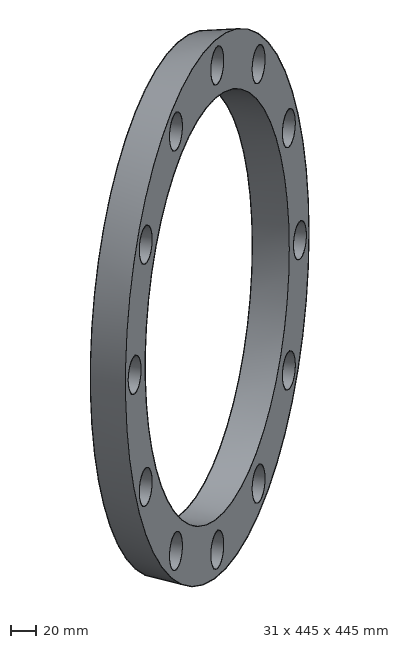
import cadquery as cq

outer_diameter = 445.0
front_diameter = 436.0
bore_diameter = 349.0
thickness = 31.0

bolt_count = 12
bolt_diameter = 31.0
bolt_circle_diameter = 400.5


def tapered_ring():
    """Ring with a conical rim, revolved about the X axis."""
    bore_radius = bore_diameter / 2
    half_thickness = thickness / 2
    section = (
        cq.Workplane("XY")
        .moveTo(-half_thickness, bore_radius)
        .lineTo(-half_thickness, front_diameter / 2)
        .lineTo(half_thickness, outer_diameter / 2)
        .lineTo(half_thickness, bore_radius)
        .close()
    )
    return section.revolve(360, (0, 0, 0), (1, 0, 0))


def bolt_holes():
    """Cylinders that cut the through holes."""
    return (
        cq.Workplane("YZ")
        .polarArray(bolt_circle_diameter / 2, 90, 360, bolt_count)
        .circle(bolt_diameter / 2)
        .extrude(thickness, both=True)
    )


result = tapered_ring().cut(bolt_holes())